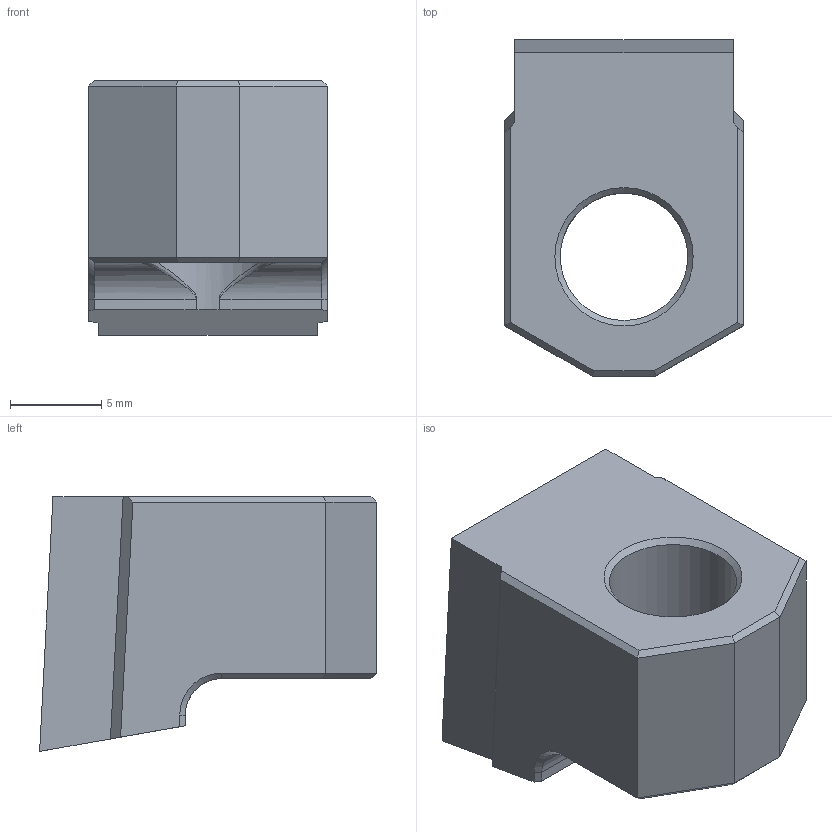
import cadquery as cq
import math

width = 13.1
body_height = 10.0
total_height = 14.0
total_length = 18.5
back_lean = 3.0
foot_slope = 10.0
edge_chamfer = 0.3

nose_flat = 3.5
nose_angle = 30.0

foot_front_from_nose = 10.5
foot_fillet = 2.0

tail_width = 12.0
tail_length = 3.85

bore_diameter = 7.0
relief_diameter = 8.0
relief_depth = 2.5
relief_edge_radius = 0.3

front_y = -width / 2
heel_y = front_y + total_length
heel_z = body_height - total_height
back_top_y = heel_y - total_height * math.tan(math.radians(back_lean))
foot_front_y = front_y + foot_front_from_nose
foot_front_z = heel_z + (heel_y - foot_front_y) * math.tan(math.radians(foot_slope))
nose_depth = (width - nose_flat) / 2 * math.tan(math.radians(nose_angle))


def make_profile_block():
    """Side profile in YZ, extruded over the full width."""
    return (
        cq.Workplane("YZ")
        .moveTo(front_y, body_height)
        .lineTo(front_y, 0)
        .lineTo(foot_front_y - foot_fillet, 0)
        .radiusArc((foot_front_y, -foot_fillet), foot_fillet)
        .lineTo(foot_front_y, foot_front_z)
        .lineTo(heel_y, heel_z)
        .lineTo(back_top_y, body_height)
        .close()
        .extrude(width / 2, both=True)
    )


def make_plan_prism():
    """Plan outline with the angled nose, tall enough to trim the whole block."""
    return (
        cq.Workplane("XY", origin=(0, 0, heel_z))
        .moveTo(-nose_flat / 2, front_y)
        .lineTo(nose_flat / 2, front_y)
        .lineTo(width / 2, front_y + nose_depth)
        .lineTo(width / 2, heel_y)
        .lineTo(-width / 2, heel_y)
        .lineTo(-width / 2, front_y + nose_depth)
        .close()
        .extrude(total_height)
    )


def chamfer_outer_edges(body):
    """Bevel the top rim (not the back), the underside rim and the foot's side edges."""
    body = body.faces(">Z").edges("not >Y").chamfer(edge_chamfer)
    below_body = cq.selectors.BoxSelector(
        (-width, front_y - edge_chamfer, heel_z),
        (width, foot_front_y + edge_chamfer, edge_chamfer),
    )
    front_edge = cq.selectors.BoxSelector(
        (-width, front_y - edge_chamfer, -edge_chamfer),
        (width, front_y + edge_chamfer, edge_chamfer),
    )
    across = cq.selectors.ParallelDirSelector(cq.Vector(1, 0, 0))
    return body.edges((below_body - across) + front_edge).chamfer(edge_chamfer)


def make_shoulder_cutter(side):
    """Prism parallel to the leaning back face that narrows one side of the tail.

    Its front end forms the 45 degree shoulder.
    side is +1 for the +X side and -1 for the -X side.
    """
    lean = math.radians(back_lean)
    shoulder_step = (width - tail_width) / 2
    margin = 1.0
    leaning_plane = cq.Plane(
        origin=(0, back_top_y, body_height),
        xDir=(1, 0, 0),
        normal=(0, -math.sin(lean), math.cos(lean)),
    )
    inner_x = side * tail_width / 2
    outer_x = side * (width / 2 + margin)
    return (
        cq.Workplane(leaning_plane)
        .moveTo(inner_x, margin)
        .lineTo(inner_x, -tail_length)
        .lineTo(outer_x, -tail_length - (shoulder_step + margin))
        .lineTo(outer_x, margin)
        .close()
        .extrude(total_height + 2 * margin, both=True)
    )


def cut_bore(body):
    """Through bore with a bevelled mouth and the wider relief below."""
    bore = (
        cq.Workplane("XY", origin=(0, 0, heel_z))
        .circle(bore_diameter / 2)
        .extrude(total_height)
    )
    relief = (
        cq.Workplane("XY", origin=(0, 0, heel_z))
        .circle(relief_diameter / 2)
        .extrude(relief_depth - heel_z)
    )
    body = body.cut(bore)
    body = body.faces(">Z").edges("%CIRCLE").chamfer(edge_chamfer)
    return body.cut(relief)


def round_relief_edge(body):
    """Round the relief's lower edge along the underside and the foot's concave fillet."""
    tolerance = 0.01
    reach = relief_diameter / 2 + tolerance
    lower_edges = cq.selectors.BoxSelector(
        (-reach, -reach, -foot_fillet),
        (reach, reach, tolerance),
    )
    across = cq.selectors.ParallelDirSelector(cq.Vector(1, 0, 0))
    return body.edges(lower_edges - across).fillet(relief_edge_radius)


body = make_profile_block().intersect(make_plan_prism())
body = chamfer_outer_edges(body)
for side in (-1, 1):
    body = body.cut(make_shoulder_cutter(side))
body = cut_bore(body)
result = round_relief_edge(body)